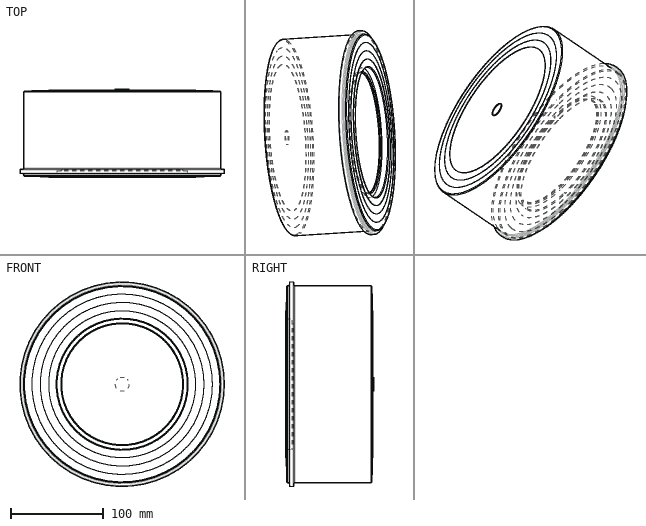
import cadquery as cq

total_depth = 95.0
front_face_y = -total_depth / 2

body_diameter = 212.0
body_edge_chamfer = 1.0

terraces_height = 1.0
terraces = (
    (194.0, terraces_height / 4),
    (176.0, terraces_height / 2),
    (158.0, terraces_height),
)

flange_diameter = 220.0
flange_start = 4.0
flange_thickness = 5.0
flange_edge_fillet = 1.0
flange_root_fillet = 1.0

recess_diameter = 140.0
recess_depth = 7.0
inner_recess_diameter = 130.0
inner_recess_depth = 2.0
recess_mouth_chamfer = 1.0

button_diameter = 15.0
button_height = 1.0

body_start = terraces_height
body_end = total_depth - button_height - terraces_height


def disc(diameter, start, end):
    """Solid cylinder on the Y axis between two stations."""
    plane = cq.Plane(origin=(0, front_face_y + start, 0), xDir=(1, 0, 0), normal=(0, 1, 0))
    return cq.Workplane(plane).circle(diameter / 2).extrude(end - start)


def make_body():
    return disc(body_diameter, body_start, body_end).edges().chamfer(body_edge_chamfer)


def add_flange(part):
    """Join the rounded flange to the drum and round the corner on each of its sides."""
    flange_end = flange_start + flange_thickness
    flange = disc(flange_diameter, flange_start, flange_end).edges().fillet(flange_edge_fillet)
    part = part.union(flange)
    for station in (flange_start, flange_end):
        root_y = front_face_y + station
        reach = body_diameter / 2 + flange_root_fillet
        root = cq.selectors.BoxSelector(
            (-reach, root_y - flange_root_fillet / 2, -reach),
            (reach, root_y + flange_root_fillet / 2, reach),
            boundingbox=True,
        )
        part = part.edges(root).fillet(flange_root_fillet)
    return part


def add_terraces(part):
    for diameter, rise in terraces:
        part = part.union(disc(diameter, body_start - rise, body_end + rise))
    return part


def cut_recess(part, diameter, start, depth):
    """Cut a round recess whose mouth is chamfered."""
    floor = start + depth
    chamfer_end = start + recess_mouth_chamfer
    radius = diameter / 2
    cutter = (
        cq.Workplane("XY")
        .moveTo(0, front_face_y + start)
        .lineTo(radius + recess_mouth_chamfer, front_face_y + start)
        .lineTo(radius, front_face_y + chamfer_end)
        .lineTo(radius, front_face_y + floor)
        .lineTo(0, front_face_y + floor)
        .close()
        .revolve(360, (0, 0, 0), (0, 1, 0))
    )
    return part.cut(cutter)


def add_button(part):
    return part.union(disc(button_diameter, total_depth - button_height, total_depth))


part = add_terraces(add_flange(make_body()))
part = cut_recess(part, recess_diameter, 0, recess_depth)
part = cut_recess(part, inner_recess_diameter, recess_depth, inner_recess_depth)
result = add_button(part)